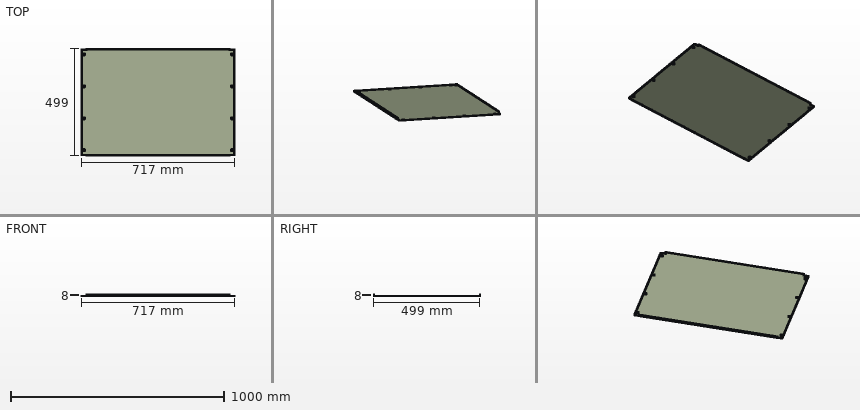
import cadquery as cq

length = 717.0
width = 499.0
height = 8.0
thickness = 1.0
bend_radius = 1.0

flange_inset = 24.0
flange_length = length - 2 * flange_inset

bend_setback = bend_radius + thickness
end_width = width - 2 * bend_setback

hole_diameter = 7.0
hole_edge_distance = 11.0
hole_pitch = 150.0
holes_per_row = 4


def make_sheet():
    """Flat panel resting on Z = 0."""
    return cq.Workplane("XY").box(length, end_width, thickness, centered=(True, True, False))


def make_channel():
    """Shallow U section with rounded bends, running along X."""
    outer = (
        cq.Workplane("XY")
        .box(flange_length, width, height, centered=(True, True, False))
        .edges("|X and <Z")
        .fillet(bend_setback)
    )
    inner = (
        cq.Workplane("XY")
        .workplane(offset=thickness)
        .box(flange_length, width - 2 * thickness, height, centered=(True, True, False))
        .edges("|X and <Z")
        .fillet(bend_radius)
    )
    return outer.cut(inner)


def make_hole_cutters():
    """Through-hole cylinders for both end rows."""
    row_spacing = length - 2 * hole_edge_distance
    return (
        cq.Workplane("XY")
        .rarray(row_spacing, hole_pitch, 2, holes_per_row)
        .circle(hole_diameter / 2)
        .extrude(thickness)
    )


result = make_sheet().union(make_channel()).cut(make_hole_cutters())